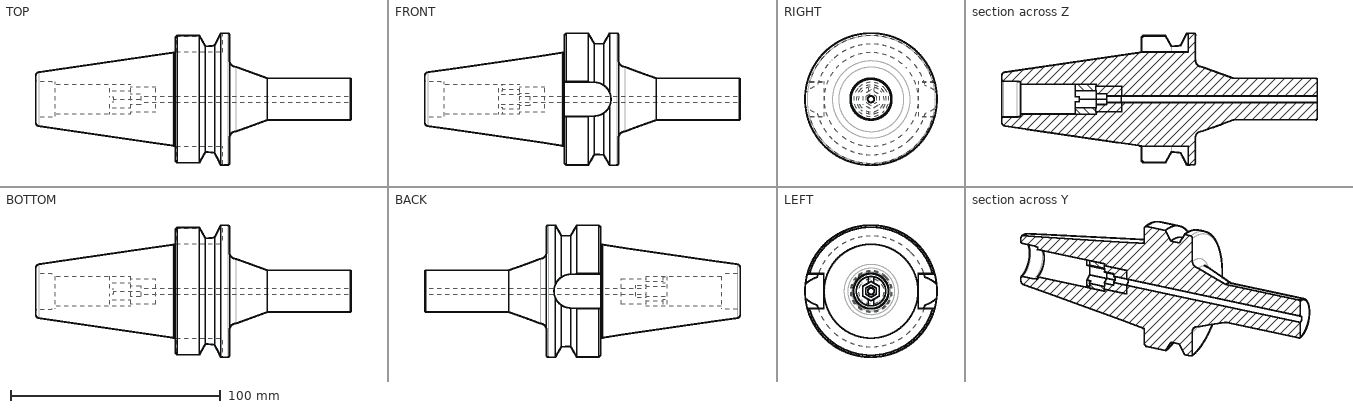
import cadquery as cq
import math

overlap = 1.0

gauge_diameter = 44.45
taper_length = 65.4
taper_per_length = 7 / 24
taper_end_fillet = 1.8
mouth_x = -taper_length
taper_end_diameter = gauge_diameter - taper_per_length * taper_length

neck_diameter = 44.8
neck_cone_length = 0.4

flange_diameter = 63.0
flange_start = 1.0
flange_end = 27.0
flange_edge = 1.0
groove_floor_diameter = 53.0
groove_centre = 17.65
groove_floor_width = 4.4
groove_half_angle = 30.0
groove_depth = (flange_diameter - groove_floor_diameter) / 2
groove_width = groove_floor_width + 2 * groove_depth * math.tan(math.radians(groove_half_angle))
groove_start = groove_centre - groove_width / 2

slot_width = 16.1
slot_floor_y = 22.5
slot_end_x = 23.4
slot_edge_chamfer = 0.4

nose_diameter = 20.0
nose_start = 45.0
nose_end = 85.0
nose_edge_chamfer = 0.5
cone_half_angle = 20.0
cone_fillet = 3.0

pilot_diameter = 17.0
pilot_fillet = 0.8
pilot_depth = 7.2
step_diameter = 16.5
step_cone_length = 1.3
step_length = 0.5
plug_diameter = 14.0
plug_length = 10.0
plug_depth = 35.0
screw_diameter = 12.0
screw_length = 12.0
coolant_diameter = 3.0

plug_hex = 8.0
plug_slot_width = 2.4
plug_slot_depth = 2.0
screw_hex = 5.0
screw_hex_depth = 5.0

plug_x = mouth_x + plug_depth
screw_x = plug_x + plug_length
screw_end_x = screw_x + screw_length


def revolve_about_x(profile):
    """Turn a closed profile, drawn with its height as radius, about the X axis."""
    return profile.close().revolve(360, (0, 0, 0), (1, 0, 0))


def cylinder_along_x(diameter, start, end):
    return cq.Workplane("YZ").workplane(offset=start).circle(diameter / 2).extrude(end - start)


def hexagon_along_x(across_flats, start, end):
    """Hexagonal prism along X with two of its corners on the Z axis."""
    corner_circle = across_flats * 2 / math.sqrt(3)
    prism = cq.Workplane("YZ").workplane(offset=start).polygon(6, corner_circle).extrude(end - start)
    return prism.rotate((0, 0, 0), (1, 0, 0), 90)


def make_turned_blank():
    """Solid of revolution for taper, neck, grooved flange, cone and nose."""
    gauge_radius = gauge_diameter / 2
    neck_radius = neck_diameter / 2
    rim_radius = flange_diameter / 2
    floor_radius = groove_floor_diameter / 2
    nose_radius = nose_diameter / 2

    floor_half_width = groove_floor_width / 2

    cone_slope = math.tan(math.radians(cone_half_angle))
    cone_start = flange_end + cone_fillet
    cone_base_radius = nose_radius + (nose_start - cone_start) * cone_slope

    blank = revolve_about_x(
        cq.Workplane("XY")
        .moveTo(mouth_x, 0)
        .lineTo(mouth_x, taper_end_diameter / 2)
        .lineTo(0, gauge_radius)
        .lineTo(neck_cone_length, neck_radius)
        .lineTo(flange_start, neck_radius)
        .lineTo(flange_start, rim_radius - flange_edge)
        .lineTo(flange_start + flange_edge, rim_radius)
        .lineTo(groove_start, rim_radius)
        .lineTo(groove_centre - floor_half_width, floor_radius)
        .lineTo(groove_centre + floor_half_width, floor_radius)
        .lineTo(groove_start + groove_width, rim_radius)
        .lineTo(flange_end - flange_edge, rim_radius)
        .radiusArc((flange_end, rim_radius - flange_edge), flange_edge)
        .lineTo(flange_end, cone_base_radius + cone_fillet)
        .radiusArc((cone_start, cone_base_radius), -cone_fillet)
        .lineTo(nose_start, nose_radius)
        .lineTo(nose_end - nose_edge_chamfer, nose_radius)
        .lineTo(nose_end, nose_radius - nose_edge_chamfer)
        .lineTo(nose_end, 0)
    )

    return blank.faces("<X").edges().fillet(taper_end_fillet)


def make_bore():
    """Stepped cavity from the mouth to the screw seat, with the coolant hole to the nose face."""
    pilot_radius = pilot_diameter / 2
    step_radius = step_diameter / 2
    plug_radius = plug_diameter / 2
    cone_start = mouth_x + pilot_depth
    step_start = cone_start + step_cone_length
    step_end = step_start + step_length
    mouth_radius = pilot_radius + pilot_fillet
    arc_inset = pilot_fillet * (1 - math.sqrt(0.5))
    cavity = revolve_about_x(
        cq.Workplane("XY")
        .moveTo(mouth_x, 0)
        .lineTo(mouth_x, mouth_radius)
        .threePointArc(
            (mouth_x + arc_inset, pilot_radius + arc_inset),
            (mouth_x + pilot_fillet, pilot_radius),
        )
        .lineTo(cone_start, pilot_radius)
        .lineTo(step_start, step_radius)
        .lineTo(step_end, step_radius)
        .lineTo(step_end, plug_radius)
        .lineTo(screw_x, plug_radius)
        .lineTo(screw_x, 0)
    )
    screw_seat = cylinder_along_x(screw_diameter, screw_x - overlap, screw_end_x)
    coolant_hole = cylinder_along_x(coolant_diameter, screw_end_x - overlap, nose_end + overlap)
    return cavity.union(screw_seat).union(coolant_hole)


def make_drive_slot(side):
    """Round-ended slot cutter on the +Y (side = 1) or -Y (side = -1) flank of the flange."""
    end_radius = slot_width / 2
    arc_centre_x = slot_end_x - end_radius
    height = flange_diameter / 2 + overlap - slot_floor_y
    return (
        cq.Workplane("XZ")
        .workplane(offset=-side * slot_floor_y)
        .moveTo(flange_start, -end_radius)
        .lineTo(arc_centre_x, -end_radius)
        .threePointArc((slot_end_x, 0), (arc_centre_x, end_radius))
        .lineTo(flange_start, end_radius)
        .close()
        .extrude(-side * height)
    )


def slot_wall_rim(side, wall_z):
    """Selector for the edges of one slot wall on the flange face, edge chamfer and rim."""
    margin = 0.1
    near_y = side * (slot_floor_y - margin)
    far_y = side * (flange_diameter / 2 + margin)
    return cq.selectors.BoxSelector(
        (flange_start - margin, near_y, wall_z - margin),
        (groove_start + margin, far_y, wall_z + margin),
        boundingbox=True,
    )


def make_holder():
    body = make_turned_blank().cut(make_bore())
    for side in (-1, 1):
        body = body.cut(make_drive_slot(side))
    for side in (-1, 1):
        for wall_z in (-slot_width / 2, slot_width / 2):
            body = body.edges(slot_wall_rim(side, wall_z)).chamfer(slot_edge_chamfer)
    return body


def make_plug():
    """Threaded plug with a hexagon right through it and a screwdriver slot across its face."""
    body = cylinder_along_x(plug_diameter, plug_x, screw_x)
    driver_slot = cq.Workplane("XY").box(
        plug_slot_depth, plug_slot_width, plug_diameter, centered=(False, True, True)
    ).translate((plug_x, 0, 0))
    return body.cut(hexagon_along_x(plug_hex, plug_x, screw_x)).cut(driver_slot)


def make_screw():
    """Stop screw seated behind the plug, with a hexagon socket and a coolant hole."""
    body = cylinder_along_x(screw_diameter, screw_x, screw_end_x)
    socket = hexagon_along_x(screw_hex, screw_x, screw_x + screw_hex_depth)
    return body.cut(socket).cut(cylinder_along_x(coolant_diameter, screw_x, screw_end_x))


holder = make_holder()
plug = make_plug()
screw = make_screw()

result = cq.Compound.makeCompound([holder.val(), plug.val(), screw.val()])